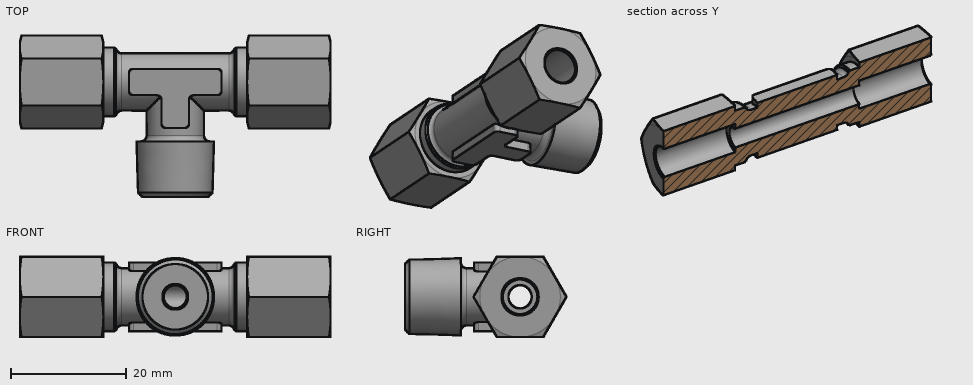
import cadquery as cq
import math

body_radius = 5.0
run_half_length = 27.0
branch_length = 20.0
passage_diameter = 4.0
neck_fillet = 1.0

nut_across_flats = 14.0
nut_sides = 6
nut_across_corners = nut_across_flats / math.cos(math.pi / nut_sides)
nut_length = 14.5
nut_chamfer_angle = 15.0
tube_bore_diameter = 6.0
tube_bore_depth = nut_length
tube_bore_chamfer = 0.25

collar_radius = 6.0
collar_edge_chamfer = 0.3
collar_face_x = 10.3

taper_face_y = 10.3
taper_large_radius = 6.75
taper_small_radius = 6.5
taper_end_chamfer = 0.8
branch_mouth_chamfer = 0.25

pad_half_length = 8.05
pad_half_width = 2.3
pad_stem_half_width = 2.4
pad_stem_reach = 8.0
pad_half_height = 6.0
pad_corner_radius = 0.8

nut_inner_x = run_half_length - nut_length
arc_middle_factor = math.sin(math.radians(45))


def make_run():
    """Main cylinder between the inner faces of the two nuts."""
    return cq.Workplane("YZ").circle(body_radius).extrude(nut_inner_x, both=True)


def make_collar():
    """Collar on the +X side, blended into the body by a concave fillet."""
    fillet_start_x = collar_face_x - neck_fillet
    chamfer_foot_radius = collar_radius - collar_edge_chamfer
    fillet_centre_radius = body_radius + neck_fillet
    drop = fillet_centre_radius - chamfer_foot_radius
    chamfer_foot_x = fillet_start_x + math.sqrt(neck_fillet**2 - drop**2)
    arc_offset = neck_fillet * arc_middle_factor
    arc_middle = (fillet_start_x + arc_offset, fillet_centre_radius - arc_offset)
    profile = (
        cq.Workplane("XY")
        .moveTo(fillet_start_x, 0)
        .lineTo(fillet_start_x, body_radius)
        .threePointArc(arc_middle, (chamfer_foot_x, chamfer_foot_radius))
        .lineTo(collar_face_x + collar_edge_chamfer, collar_radius)
        .lineTo(nut_inner_x, collar_radius)
        .lineTo(nut_inner_x, 0)
        .close()
    )
    return profile.revolve(360, (0, 0, 0), (1, 0, 0))


def make_nut():
    """Hexagon nut on the +X side, corners along Y, both ends chamfered."""
    hexagon = (
        cq.Workplane("YZ")
        .workplane(offset=nut_inner_x)
        .polygon(nut_sides, nut_across_corners)
        .extrude(nut_length)
    )
    flat_radius = nut_across_flats / 2
    corner_radius = nut_across_corners / 2
    chamfer_depth = (corner_radius - flat_radius) * math.tan(math.radians(nut_chamfer_angle))
    envelope = (
        cq.Workplane("XY")
        .moveTo(nut_inner_x, 0)
        .lineTo(nut_inner_x, flat_radius)
        .lineTo(nut_inner_x + chamfer_depth, corner_radius)
        .lineTo(run_half_length - chamfer_depth, corner_radius)
        .lineTo(run_half_length, flat_radius)
        .lineTo(run_half_length, 0)
        .close()
        .revolve(360, (0, 0, 0), (1, 0, 0))
    )
    return hexagon.intersect(envelope)


def make_branch():
    """Round branch toward -Y, ending in a chamfered taper."""
    fillet_start_y = taper_face_y - neck_fillet
    fillet_end_radius = body_radius + neck_fillet
    arc_offset = neck_fillet * arc_middle_factor
    arc_middle = (fillet_end_radius - arc_offset, -(fillet_start_y + arc_offset))
    profile = (
        cq.Workplane("XY")
        .lineTo(body_radius, 0)
        .lineTo(body_radius, -fillet_start_y)
        .threePointArc(arc_middle, (fillet_end_radius, -taper_face_y))
        .lineTo(taper_large_radius, -taper_face_y)
        .lineTo(taper_small_radius, -(branch_length - taper_end_chamfer))
        .lineTo(taper_small_radius - taper_end_chamfer, -branch_length)
        .lineTo(0, -branch_length)
        .close()
    )
    return profile.revolve(360, (0, 0, 0), (0, 1, 0))


def make_pads():
    """T-shaped block through the body, leaving a flat pad above and below."""
    outline = [
        (-pad_half_length, pad_half_width),
        (pad_half_length, pad_half_width),
        (pad_half_length, -pad_half_width),
        (pad_stem_half_width, -pad_half_width),
        (pad_stem_half_width, -pad_stem_reach),
        (-pad_stem_half_width, -pad_stem_reach),
        (-pad_stem_half_width, -pad_half_width),
        (-pad_half_length, -pad_half_width),
    ]
    block = cq.Workplane("XY").polyline(outline).close().extrude(pad_half_height, both=True)
    return block.edges("|Z").fillet(pad_corner_radius)


def make_tube_bore():
    """Cutter for the tube bore in the +X end, chamfered at its mouth."""
    radius = tube_bore_diameter / 2
    bottom_x = run_half_length - tube_bore_depth
    profile = (
        cq.Workplane("XY")
        .moveTo(run_half_length, 0)
        .lineTo(run_half_length, radius + tube_bore_chamfer)
        .lineTo(run_half_length - tube_bore_chamfer, radius)
        .lineTo(bottom_x, radius)
        .lineTo(bottom_x, 0)
        .close()
    )
    return profile.revolve(360, (0, 0, 0), (1, 0, 0))


def make_passages():
    """Through passage along the run, meeting the branch passage at the centre."""
    radius = passage_diameter / 2
    run_passage = cq.Workplane("YZ").circle(radius).extrude(run_half_length, both=True)
    branch_passage = (
        cq.Workplane("XY")
        .lineTo(radius, 0)
        .lineTo(radius, -(branch_length - branch_mouth_chamfer))
        .lineTo(radius + branch_mouth_chamfer, -branch_length)
        .lineTo(0, -branch_length)
        .close()
        .revolve(360, (0, 0, 0), (0, 1, 0))
    )
    return run_passage.union(branch_passage)


result = make_run().union(make_branch()).union(make_pads())
for end_part in (make_collar(), make_nut()):
    result = result.union(end_part).union(end_part.mirror("YZ"))

tube_bore = make_tube_bore()
result = result.cut(make_passages()).cut(tube_bore).cut(tube_bore.mirror("YZ"))